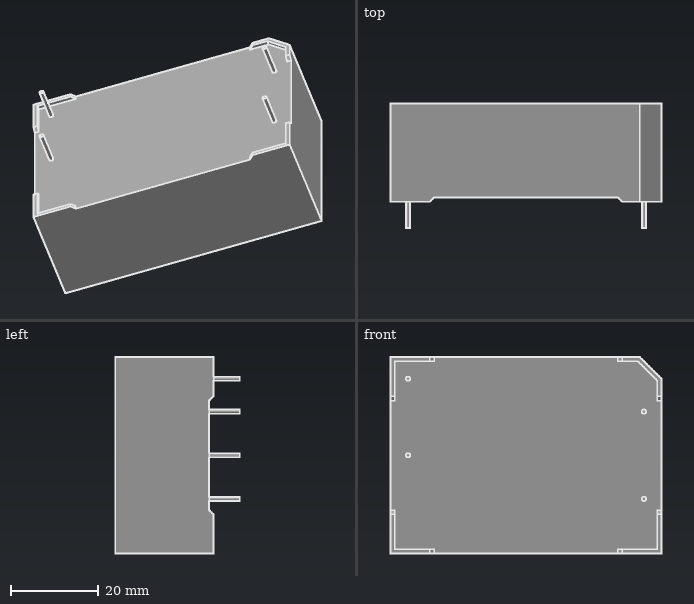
import cadquery as cq

length = 62.0
height = 45.0
overall_depth = 28.5

pin_projection = 6.0
case_depth = overall_depth - pin_projection
corner_cut = 5.0

rim_height = 1.0
rim_wall = 1.0
rim_leg = 10.0
rim_slope = 1.0

pin_diameter = 1.0
pin_edge_distance = 4.0
left_pin_heights = (0, 17.5)
right_pin_heights = (-10.0, 10.0)

floor_y = rim_height


def cut_corner_block(start_y, end_y, inset=0.0):
    """Block with the case outline, moved inward by inset, between two Y positions."""
    outline = (
        cq.Workplane("XZ", origin=(0, start_y, 0))
        .rect(length, height)
        .extrude(start_y - end_y)
        .edges("|Y and >X and >Z")
        .chamfer(corner_cut)
    )
    if inset == 0:
        return outline
    return (
        cq.Workplane("XZ", origin=(0, start_y, 0))
        .add(outline.faces("<Y").wires().vals())
        .toPending()
        .offset2D(-inset, "intersection")
        .extrude(start_y - end_y)
    )


def gap_cutter(plane, side, width):
    """Trapezoid through the rim that leaves a leg with a sloped end at each corner."""
    floor_half = side / 2 - rim_leg
    edge_half = floor_half + rim_slope
    profile = [(-floor_half, floor_y), (floor_half, floor_y), (edge_half, 0), (-edge_half, 0)]
    if plane == "YZ":
        profile = [(y, along) for along, y in profile]
    return cq.Workplane(plane).polyline(profile).close().extrude(width / 2, both=True)


def pin(x, z):
    """Round pin standing on the floor."""
    return (
        cq.Workplane("XZ", origin=(x, floor_y, z))
        .circle(pin_diameter / 2)
        .extrude(floor_y + pin_projection)
    )


result = cut_corner_block(0, case_depth)
result = result.cut(cut_corner_block(0, floor_y, rim_wall))
result = result.cut(gap_cutter("XY", length, height))
result = result.cut(gap_cutter("YZ", height, length))

pin_x = length / 2 - pin_edge_distance
for x, pin_heights in ((-pin_x, left_pin_heights), (pin_x, right_pin_heights)):
    for z in pin_heights:
        result = result.union(pin(x, z))